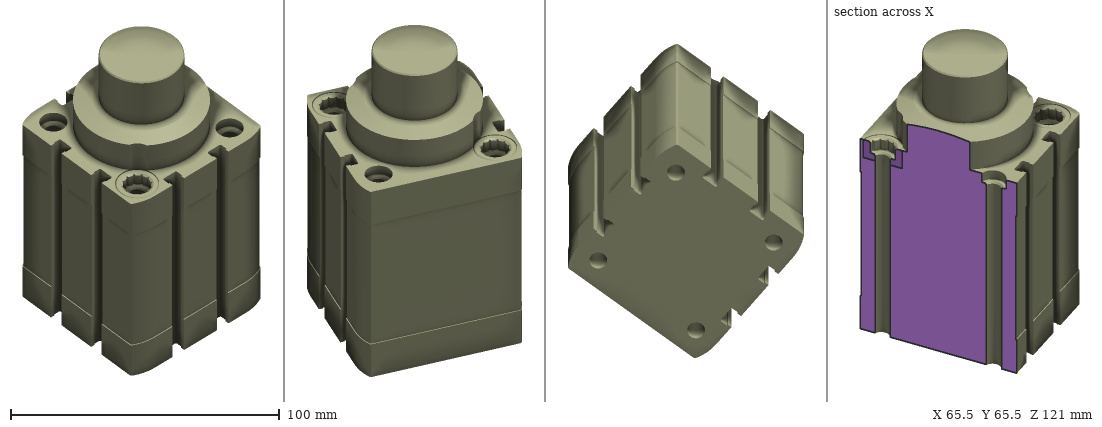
import cadquery as cq
overall_height = 121.0
collar_top_z = 100.0
collar_shoulder_z = 98.0
block_height = 85.5
end_cap_height = 15.1

block_width = 65.5
side_flat_width = 46.0
end_face_width = 60.3
barrel_end_face_width = 59.9
corner_fillet = 1.0
barrel_inset = 0.4

collar_diameter = 51.1
collar_top_diameter = 38.0
rod_diameter = 32.0
rod_chamfer = 0.5

slot_offset = 11.1
slot_mouth_width = 5.8
slot_inner_width = 6.8
slot_depth = 5.0
slot_lip = 1.7
slot_floor_fillet = 0.7

hole_offset = 23.2
bolt_hole_diameter = 6.7
hole_mouth_diameter = 8.0
counterbore_diameter = 10.5
counterbore_depth = 4.0

screw_diameter = 16.5
screw_height = 8.0
screw_edge_chamfer = 0.5
socket_corner_diameter = 11.7
socket_bore_diameter = 10.5
socket_mouth_diameter = 12.3
socket_mouth_depth = 0.6
socket_depth = 5.1

plain_hole_positions = [(-hole_offset, -hole_offset), (hole_offset, hole_offset)]
screw_positions = [(-hole_offset, hole_offset), (hole_offset, -hole_offset)]


def cylinder(diameter, bottom_z, top_z, position=(0, 0)):
    """Upright cylinder between two heights."""
    return (
        cq.Workplane("XY", origin=(*position, bottom_z))
        .circle(diameter / 2)
        .extrude(top_z - bottom_z)
    )


def cone(bottom_diameter, top_diameter, bottom_z, top_z, position=(0, 0)):
    """Upright truncated cone between two heights."""
    bottom_radius = bottom_diameter / 2
    top_radius = top_diameter / 2
    height = top_z - bottom_z
    base = cq.Vector(*position, bottom_z)
    return cq.Workplane(cq.Solid.makeCone(bottom_radius, top_radius, height, base))


def block_section(width, end_width, bottom_z, top_z):
    """Prism with flat sides and corner flanks that bow in tangent to the X sides."""
    side = width / 2
    flat = side_flat_width / 2
    end = end_width / 2
    drop = side - end
    rise = side - flat
    flank_radius = (drop**2 + rise**2) / (2 * drop)
    prism = (
        cq.Workplane("XY", origin=(0, 0, bottom_z))
        .moveTo(side, -flat)
        .lineTo(side, flat)
        .radiusArc((end, side), -flank_radius)
        .lineTo(-end, side)
        .radiusArc((-side, flat), -flank_radius)
        .lineTo(-side, -flat)
        .radiusArc((-end, -side), -flank_radius)
        .lineTo(end, -side)
        .radiusArc((side, -flat), -flank_radius)
        .close()
        .extrude(top_z - bottom_z)
    )
    return prism.edges("|Z").edges("<Y or >Y").fillet(corner_fillet)


def t_slot(angle, offset):
    """T-slot cutter on the side that faces the given direction from +X."""
    side = block_width / 2
    mid_height = block_height / 2
    mouth = cq.Workplane("XY").box(slot_depth, slot_mouth_width, block_height)
    mouth = mouth.translate((side - slot_depth / 2, offset, mid_height))
    inner_depth = slot_depth - slot_lip
    inner = cq.Workplane("XY").box(inner_depth, slot_inner_width, block_height)
    inner = inner.edges("|Z and <X").fillet(slot_floor_fillet)
    inner = inner.translate((side - slot_depth + inner_depth / 2, offset, mid_height))
    return mouth.union(inner).rotate((0, 0, 0), (0, 0, 1), angle)


def bore_with_countersink(floor_z, position):
    """Through bore whose mouth at the given floor is countersunk at 45 degrees."""
    countersink_depth = (hole_mouth_diameter - bolt_hole_diameter) / 2
    bore = cylinder(bolt_hole_diameter, 0, floor_z, position)
    countersink = cone(
        bolt_hole_diameter, hole_mouth_diameter, floor_z - countersink_depth, floor_z, position
    )
    return bore.union(countersink)


def make_housing():
    """Cylinder body: end caps, barrel, collar and rod with its slots and holes."""
    upper_cap_z = block_height - end_cap_height
    barrel_width = block_width - 2 * barrel_inset
    housing = block_section(block_width, end_face_width, 0, end_cap_height)
    housing = housing.union(
        block_section(barrel_width, barrel_end_face_width, end_cap_height, upper_cap_z)
    )
    housing = housing.union(block_section(block_width, end_face_width, upper_cap_z, block_height))

    housing = housing.union(cylinder(collar_diameter, block_height, collar_shoulder_z))
    housing = housing.union(
        cone(collar_diameter, collar_top_diameter, collar_shoulder_z, collar_top_z)
    )
    rod = cylinder(rod_diameter, collar_top_z, overall_height)
    housing = housing.union(rod.faces(">Z").chamfer(rod_chamfer))

    for angle in (0, 180, 270):
        for offset in (-slot_offset, slot_offset):
            housing = housing.cut(t_slot(angle, offset))

    for position in plain_hole_positions:
        floor_z = block_height - counterbore_depth
        housing = housing.cut(cylinder(counterbore_diameter, floor_z, block_height, position))
        housing = housing.cut(bore_with_countersink(floor_z, position))

    for position in screw_positions:
        seat_z = block_height - screw_height
        housing = housing.cut(cylinder(bolt_hole_diameter, 0, seat_z, position))
        housing = housing.cut(cylinder(screw_diameter, seat_z, collar_top_z, position))
    return housing


def make_screw(position):
    """Hollow screw with a triple-square socket, flush with the top of the block."""
    socket_floor_z = block_height - socket_depth
    screw = cylinder(screw_diameter, block_height - screw_height, block_height, position)
    screw = screw.faces(">Z").edges().chamfer(screw_edge_chamfer)
    screw = screw.cut(cylinder(socket_bore_diameter, socket_floor_z, block_height, position))
    for turn in (0, 30, 60):
        square = (
            cq.Workplane("XY", origin=(*position, socket_floor_z))
            .transformed(rotate=(0, 0, turn))
            .polygon(4, socket_corner_diameter)
            .extrude(socket_depth)
        )
        screw = screw.cut(square)
    mouth_bottom_z = block_height - socket_mouth_depth
    mouth = cone(socket_bore_diameter, socket_mouth_diameter, mouth_bottom_z, block_height, position)
    screw = screw.cut(mouth)
    return screw.cut(bore_with_countersink(socket_floor_z, position))


housing = make_housing()
screws = [make_screw(position) for position in screw_positions]
result = cq.Compound.makeCompound([housing.val(), *[screw.val() for screw in screws]])